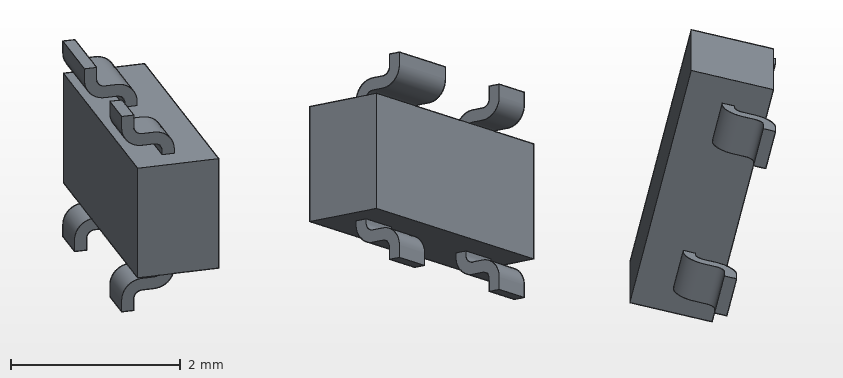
import cadquery as cq

body_length = 3.0
body_depth = 1.0
total_height = 2.5
lead_height = 0.55
body_height = total_height - 2 * lead_height

lead_thickness = 0.15
inner_radius = 0.1
outer_radius = inner_radius + lead_thickness
foot_length = 0.15
bridge_length = 0.15
front_overhang = 0.102
lead_width = 0.48
wide_lead_width = 0.88
lead_inset = 0.31

left_lead_start = -body_length / 2 + lead_inset
right_lead_start = body_length / 2 - lead_inset - lead_width


def gull_wing_lead(start_x, width):
    """Lead rising from the top of the body, bending forward and then up to its foot."""
    body_top = body_height / 2
    tip = total_height / 2
    front = -front_overhang
    foot_back = front + lead_thickness
    foot_bottom = tip - foot_length
    bridge_front = front + outer_radius
    bridge_back = bridge_front + bridge_length
    bridge_top = foot_bottom - inner_radius
    bridge_bottom = bridge_top - lead_thickness
    root_top = bridge_bottom - inner_radius
    root_front = bridge_back + inner_radius
    root_back = root_front + lead_thickness
    return (
        cq.Workplane("YZ", origin=(start_x, 0, 0))
        .moveTo(front, tip)
        .lineTo(front, foot_bottom)
        .radiusArc((bridge_front, bridge_bottom), -outer_radius)
        .lineTo(bridge_back, bridge_bottom)
        .radiusArc((root_front, root_top), inner_radius)
        .lineTo(root_front, body_top)
        .lineTo(root_back, body_top)
        .lineTo(root_back, root_top)
        .radiusArc((bridge_back, bridge_top), -outer_radius)
        .lineTo(bridge_front, bridge_top)
        .radiusArc((foot_back, foot_bottom), inner_radius)
        .lineTo(foot_back, tip)
        .close()
        .extrude(width)
    )


body = cq.Workplane("XY").box(body_length, body_depth, body_height, centered=(True, False, True))
left_lead = gull_wing_lead(left_lead_start, lead_width)
right_lead = gull_wing_lead(right_lead_start, lead_width)
wide_lead = gull_wing_lead(left_lead_start, wide_lead_width)

result = body.union(wide_lead).union(right_lead)
for lead in (left_lead, right_lead):
    result = result.union(lead.mirror("XY"))